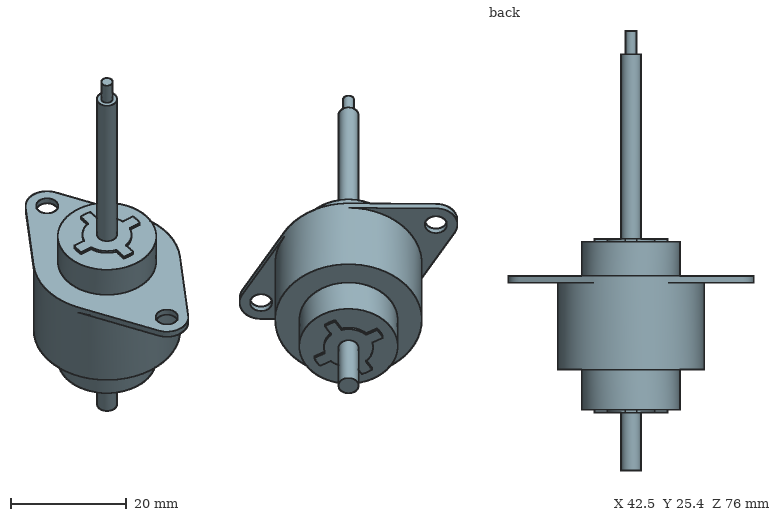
import cadquery as cq
import math

total_height = 76.0
shaft_diameter = 3.5
tip_diameter = 2.0
tip_length = 4.0

body_diameter = 25.4
boss_diameter = 17.0
body_bottom = 17.5
body_top = 33.7
lower_boss_bottom = 10.5
upper_boss_top = 39.6

hub_height = 0.45
hub_diameter = 8.5
spoke_span = 12.8
spoke_width = 2.05

flange_length = 42.5
flange_thickness = 1.2
hole_spacing = 35.0
hole_diameter = 3.8


def cylinder(diameter, bottom, top):
    return cq.Workplane("XY").workplane(offset=bottom).circle(diameter / 2).extrude(top - bottom)


def bearing_hub(bottom):
    """A disc with four spokes whose tips are rounded about the shaft axis."""
    spokes = cq.Workplane("XY").workplane(offset=bottom).rect(spoke_span, spoke_width).extrude(hub_height)
    spokes = spokes.union(spokes.rotate((0, 0, 0), (0, 0, 1), 90))
    spokes = spokes.intersect(cylinder(spoke_span, bottom, bottom + hub_height))
    return spokes.union(cylinder(hub_diameter, bottom, bottom + hub_height))


def mounting_flange():
    """Two end arcs joined to the body circle by tangent straight edges."""
    body_radius = body_diameter / 2
    end_offset = hole_spacing / 2
    end_radius = (flange_length - hole_spacing) / 2
    tangent_cos = (body_radius - end_radius) / end_offset
    tangent_sin = math.sqrt(1 - tangent_cos**2)
    side_x = body_radius * tangent_cos
    side_y = body_radius * tangent_sin
    end_x = end_offset + end_radius * tangent_cos
    end_y = end_radius * tangent_sin
    return (
        cq.Workplane("XY").workplane(offset=body_top - flange_thickness)
        .moveTo(-side_x, side_y)
        .threePointArc((0, body_radius), (side_x, side_y))
        .lineTo(end_x, end_y)
        .threePointArc((flange_length / 2, 0), (end_x, -end_y))
        .lineTo(side_x, -side_y)
        .threePointArc((0, -body_radius), (-side_x, -side_y))
        .lineTo(-end_x, -end_y)
        .threePointArc((-flange_length / 2, 0), (-end_x, end_y))
        .close()
        .pushPoints([(-end_offset, 0), (end_offset, 0)])
        .circle(hole_diameter / 2)
        .extrude(flange_thickness)
    )


shaft = cylinder(shaft_diameter, 0, total_height - tip_length)
shaft_tip = cylinder(tip_diameter, total_height - tip_length, total_height)
body = cylinder(body_diameter, body_bottom, body_top)
bosses = cylinder(boss_diameter, lower_boss_bottom, upper_boss_top)

result = (
    body.union(mounting_flange())
    .union(bosses)
    .union(bearing_hub(lower_boss_bottom - hub_height))
    .union(bearing_hub(upper_boss_top))
    .union(shaft)
    .union(shaft_tip)
)